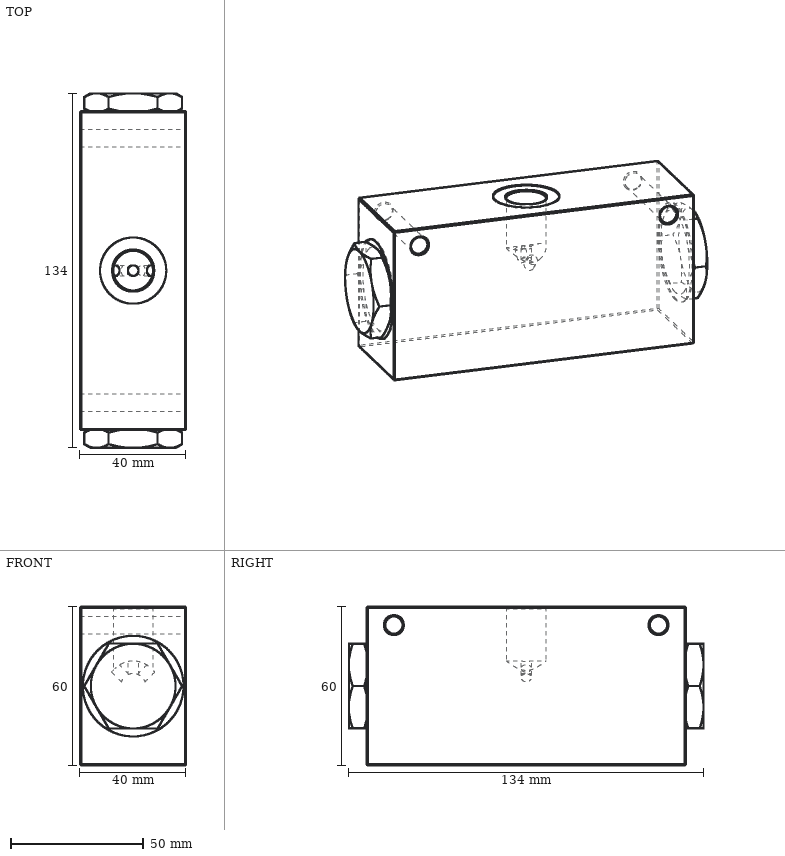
import cadquery as cq
import math

BODY_X = 40.0
BODY_Y = 120.6
BODY_Z = 60.0
BODY_CHAMFER = 0.5

OVERALL_LENGTH = 134.0
HEX_FLATS = 32.0
HEX_CORNERS = HEX_FLATS / math.cos(math.radians(30))
HEX_CHAMFER_ANGLE = 30.0
PLUG_RECESS_DIAMETER = 38.0
PLUG_RECESS_DEPTH = 0.5

SPOTFACE_DIAMETER = 25.0
SPOTFACE_DEPTH = 0.4
PORT_DIAMETER = 15.0
PORT_CHAMFER = 0.47

SPOOL_DIAMETER = 19.0
ROD_DIAMETER = 9.5
CROSS_HOLE_DIAMETER = 4.0
CROSS_HOLE_ANGLES = (-45, 0, 45)

MOUNT_DIAMETER = 6.5
MOUNT_CHAMFER = 0.47
MOUNT_SPACING = 100.0
MOUNT_Z = 23.0


def chamfered_hole_cutter(diameter, depth, chamfer):
    """Hole running down from Z = 0, widened by a 45 degree chamfer at its mouth."""
    radius = diameter / 2
    return (
        cq.Workplane("XZ")
        .polyline([
            (0, 0),
            (radius + chamfer, 0),
            (radius, -chamfer),
            (radius, -depth),
            (0, -depth),
        ])
        .close()
        .revolve(360, (0, 0), (0, 1))
    )


def make_body():
    """Chamfered block with a shallow plug recess in each end face."""
    body = cq.Workplane("XY").box(BODY_X, BODY_Y, BODY_Z).edges().chamfer(BODY_CHAMFER)
    for end in (-1, 1):
        recess = (
            cq.Workplane("XZ", origin=(0, end * BODY_Y / 2, 0))
            .circle(PLUG_RECESS_DIAMETER / 2)
            .extrude(PLUG_RECESS_DEPTH, both=True)
        )
        body = body.cut(recess)
    return body


def make_plug_head():
    """Hexagonal head pointing to -Y, chamfered to its flats at both faces."""
    seat_y = PLUG_RECESS_DEPTH - BODY_Y / 2
    height = seat_y + OVERALL_LENGTH / 2
    flat_radius = HEX_FLATS / 2
    corner_radius = HEX_CORNERS / 2
    bevel = (corner_radius - flat_radius) * math.tan(math.radians(HEX_CHAMFER_ANGLE))
    hexagon = (
        cq.Workplane("XZ", origin=(0, seat_y, 0))
        .polygon(6, HEX_CORNERS)
        .extrude(height)
    )
    envelope = (
        cq.Workplane("XY")
        .polyline([
            (0, seat_y),
            (flat_radius, seat_y),
            (corner_radius, seat_y - bevel),
            (corner_radius, seat_y - height + bevel),
            (flat_radius, seat_y - height),
            (0, seat_y - height),
        ])
        .close()
        .revolve(360, (0, 0), (0, 1))
    )
    return hexagon.intersect(envelope)


def make_y_cylinder(diameter):
    """Cylinder along Y, long enough to span the port on both sides."""
    return cq.Workplane("XZ").circle(diameter / 2).extrude(PORT_DIAMETER, both=True)


def make_port_cutter():
    """Spotface, bore ending on the top of the spool, and the cross holes of the spool."""
    top_z = BODY_Z / 2
    floor_z = top_z - SPOTFACE_DEPTH
    spotface = (
        cq.Workplane("XY", origin=(0, 0, floor_z))
        .circle(SPOTFACE_DIAMETER / 2)
        .extrude(SPOTFACE_DEPTH)
    )
    bore = chamfered_hole_cutter(PORT_DIAMETER, floor_z, PORT_CHAMFER).translate((0, 0, floor_z))
    spool = make_y_cylinder(SPOOL_DIAMETER)
    rod = make_y_cylinder(ROD_DIAMETER)
    cutter = spotface.union(bore.cut(spool))
    for angle in CROSS_HOLE_ANGLES:
        cross_hole = (
            cq.Workplane("XY")
            .circle(CROSS_HOLE_DIAMETER / 2)
            .extrude(SPOOL_DIAMETER / 2)
            .cut(rod)
            .rotate((0, 0, 0), (0, 1, 0), angle)
        )
        cutter = cutter.union(cross_hole)
    return cutter


def make_mount_cutter():
    """Through hole along X, chamfered at both mouths."""
    half = chamfered_hole_cutter(MOUNT_DIAMETER, BODY_X / 2, MOUNT_CHAMFER)
    half = half.translate((0, 0, BODY_X / 2)).rotate((0, 0, 0), (0, 1, 0), 90)
    return half.union(half.mirror("YZ"))


result = make_body()

plug_head = make_plug_head()
result = result.union(plug_head).union(plug_head.mirror("XZ"))

result = result.cut(make_port_cutter())

mount_cutter = make_mount_cutter()
for side in (-1, 1):
    result = result.cut(mount_cutter.translate((0, side * MOUNT_SPACING / 2, MOUNT_Z)))